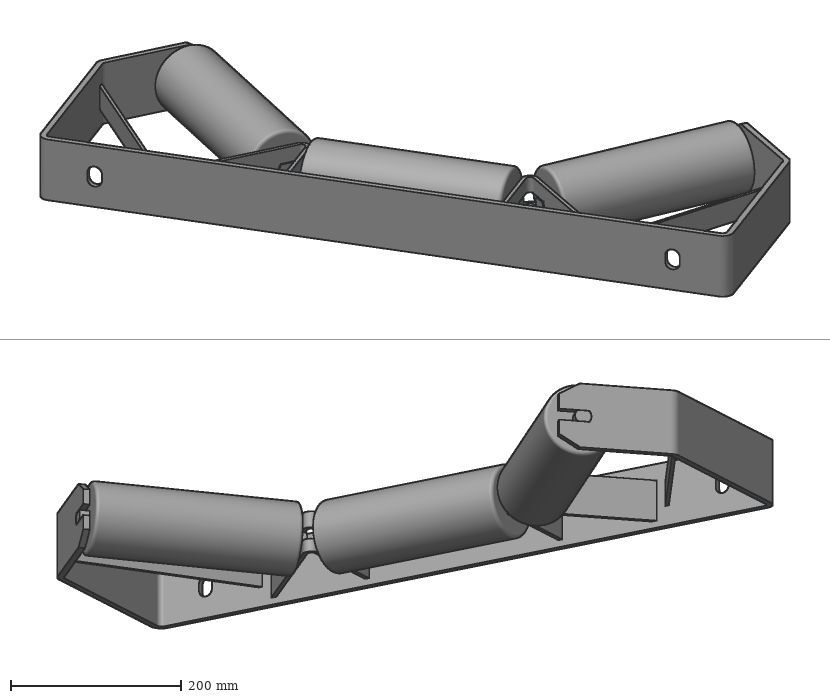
import cadquery as cq
import math

FRAME_WIDTH = 860.0
BAR_HEIGHT = 79.0
BAR_THICKNESS = 8.0
BEND_OUTER_RADIUS = 14.0
ARM_BEND_Y = 224.5
ARM_TIP_Y = 324.0
ARM_CHAMFER_ALONG = 25.0
ARM_CHAMFER_HEIGHT = 15.0
BOLT_SLOT_SPACING = 717.0
BOLT_SLOT_WIDTH = 18.0
BOLT_SLOT_LENGTH = 26.0
BOLT_SLOT_ANGLE = 90.0

ROLLER_DIAMETER = 89.0
ROLLER_LENGTH = 250.0
ROLLER_EDGE_RADIUS = 4.0
SHAFT_DIAMETER = 20.0
SHAFT_FLATS = 14.0
CENTER_ROLLER_Y = 101.5
CENTER_ROLLER_Z = -8.0
SIDE_ROLLER_X = 254.0
SIDE_ROLLER_Y = 206.0
SIDE_ROLLER_Z = -4.0
SIDE_SHAFT_REACH = 12.0

TROUGH_ANGLE = 45.0
ROLLER_DIP = 1.6

BRACKET_HEIGHT = 50.0
BRACKET_CENTER_Z = -6.0
BRACKET_THICKNESS = 5.0
BRACKET_LEG_X = 132.0
BRACKET_FOOT_X = 267.5
BRACKET_BEND_RADIUS = 10.0

STRUT_THICKNESS = 4.0
STRUT_HEIGHT = 30.0
STRUT_FOOT_X = 282.0
STRUT_TOP_Y = 211.5

SLOT_LENGTH = 69.0
SLOT_DEPTH = 17.0

HALF_WIDTH = FRAME_WIDTH / 2


def extrude_centered(outline, height):
    """Extrude an XY outline so that it is centred on Z = 0."""
    return outline.extrude(height / 2, both=True)


def mirrored(body):
    """The same body on the other side of the YZ plane."""
    return body.mirror("YZ")


def round_edge(body, corner, radius):
    """Fillet the upright edge at an XY corner."""
    edge = cq.selectors.NearestToPointSelector((corner[0], corner[1], 0))
    return body.edges("|Z").edges(edge).fillet(radius)


def place_center(body):
    """Move a body built about the origin to the centre roller seat."""
    return body.translate((0, CENTER_ROLLER_Y, CENTER_ROLLER_Z))


def place_left(body):
    """Dip the right-hand (inner) end, swing to the trough angle and move to the left seat."""
    dipped = body.rotate((0, 0, 0), (0, 1, 0), ROLLER_DIP)
    swung = dipped.rotate((0, 0, 0), (0, 0, 1), -TROUGH_ANGLE)
    return swung.translate((-SIDE_ROLLER_X, SIDE_ROLLER_Y, SIDE_ROLLER_Z))


def make_bar(diameter, length):
    """Round bar along X, centred on the origin."""
    return cq.Workplane("YZ", origin=(-length / 2, 0, 0)).circle(diameter / 2).extrude(length)


def make_shaft(length):
    """Round bar along X with two flats facing up and down."""
    bar = make_bar(SHAFT_DIAMETER, length)
    return bar.intersect(cq.Workplane().box(length, SHAFT_DIAMETER, SHAFT_FLATS))


def make_roller(shaft_reach):
    """Roller along X; the shaft stands out by shaft_reach at both ends."""
    drum = make_bar(ROLLER_DIAMETER, ROLLER_LENGTH).edges("%CIRCLE").fillet(ROLLER_EDGE_RADIUS)
    return drum.union(make_shaft(ROLLER_LENGTH + 2 * shaft_reach))


def make_shaft_slot(end):
    """Cutter for an open shaft slot at the end -1 or +1 of a roller along X."""
    mouth = cq.Workplane().box(SLOT_DEPTH, SLOT_LENGTH, SHAFT_FLATS, centered=(True, False, True))
    slot = make_shaft(SLOT_DEPTH).union(mouth)
    return slot.translate((end * (ROLLER_LENGTH + SLOT_DEPTH) / 2, 0, 0))


def make_frame():
    """Bent bar with clipped arm tips, two bolt slots in the base and a shaft slot in each arm."""
    arm_rise = ARM_TIP_Y - ARM_BEND_Y
    arm_run = arm_rise / math.tan(math.radians(TROUGH_ANGLE))
    inner_x = HALF_WIDTH - BAR_THICKNESS
    inner_bend_y = ARM_BEND_Y - BAR_THICKNESS * math.tan(math.radians(TROUGH_ANGLE / 2))
    tip_x = HALF_WIDTH - arm_run
    tip_step = BAR_THICKNESS * math.sin(math.radians(TROUGH_ANGLE))
    outline = cq.Workplane().polyline([
        (-HALF_WIDTH, 0),
        (HALF_WIDTH, 0),
        (HALF_WIDTH, ARM_BEND_Y),
        (tip_x, ARM_TIP_Y),
        (tip_x - tip_step, ARM_TIP_Y - tip_step),
        (inner_x, inner_bend_y),
        (inner_x, BAR_THICKNESS),
        (-inner_x, BAR_THICKNESS),
        (-inner_x, inner_bend_y),
        (-tip_x + tip_step, ARM_TIP_Y - tip_step),
        (-tip_x, ARM_TIP_Y),
        (-HALF_WIDTH, ARM_BEND_Y),
    ]).close()
    frame = extrude_centered(outline, BAR_HEIGHT)
    for side in (-1, 1):
        for outer, inner in (
            ((side * HALF_WIDTH, 0), (side * inner_x, BAR_THICKNESS)),
            ((side * HALF_WIDTH, ARM_BEND_Y), (side * inner_x, inner_bend_y)),
        ):
            frame = round_edge(frame, outer, BEND_OUTER_RADIUS)
            frame = round_edge(frame, inner, BEND_OUTER_RADIUS - BAR_THICKNESS)
    for corner in make_arm_corners(tip_x):
        frame = frame.cut(corner).cut(mirrored(corner))
    slots = (
        cq.Workplane("XZ").pushPoints([(-BOLT_SLOT_SPACING / 2, 0), (BOLT_SLOT_SPACING / 2, 0)])
        .slot2D(BOLT_SLOT_LENGTH, BOLT_SLOT_WIDTH, BOLT_SLOT_ANGLE).extrude(-BAR_THICKNESS)
    )
    seat = place_left(make_shaft_slot(-1))
    return frame.cut(slots).cut(seat).cut(mirrored(seat))


def make_arm_corners(tip_x):
    """Wedges that clip the upper and lower corners of the left arm tip."""
    angle = math.radians(TROUGH_ANGLE)
    arm_plane = cq.Plane(
        origin=(-tip_x, ARM_TIP_Y, 0),
        xDir=(-math.cos(angle), -math.sin(angle), 0),
        normal=(math.sin(angle), -math.cos(angle), 0),
    )
    half_height = BAR_HEIGHT / 2
    for side in (-1, 1):
        wedge = cq.Workplane(arm_plane).polyline([
            (0, side * half_height),
            (ARM_CHAMFER_ALONG, side * half_height),
            (0, side * (half_height - ARM_CHAMFER_HEIGHT)),
        ]).close()
        yield wedge.extrude(BAR_THICKNESS)


def make_left_bracket():
    """Upright leg beside the centre roller, bent over into a leg that slopes to the base bar."""
    slope = math.tan(math.radians(TROUGH_ANGLE))
    outer_top_y = BAR_THICKNESS + (BRACKET_FOOT_X - BRACKET_LEG_X) * slope
    inner_leg_x = BRACKET_LEG_X + BRACKET_THICKNESS
    inner_foot_x = BRACKET_FOOT_X - BRACKET_THICKNESS / math.sin(math.radians(TROUGH_ANGLE))
    inner_top_y = BAR_THICKNESS + (inner_foot_x - inner_leg_x) * slope
    outline = cq.Workplane().polyline([
        (-BRACKET_LEG_X, BAR_THICKNESS),
        (-BRACKET_LEG_X, outer_top_y),
        (-BRACKET_FOOT_X, BAR_THICKNESS),
        (-inner_foot_x, BAR_THICKNESS),
        (-inner_leg_x, inner_top_y),
        (-inner_leg_x, BAR_THICKNESS),
    ]).close()
    bracket = extrude_centered(outline, BRACKET_HEIGHT).translate((0, 0, BRACKET_CENTER_Z))
    bracket = round_edge(bracket, (-BRACKET_LEG_X, outer_top_y), BRACKET_BEND_RADIUS)
    bracket = round_edge(bracket, (-inner_leg_x, inner_top_y), BRACKET_BEND_RADIUS - BRACKET_THICKNESS)
    return bracket.cut(place_center(make_shaft_slot(-1))).cut(place_left(make_shaft_slot(1)))


def make_left_strut():
    """Brace between the base bar and the left upright, its ends trimmed to both faces."""
    wall_x = HALF_WIDTH - BAR_THICKNESS
    angle = math.atan2(STRUT_TOP_Y - BAR_THICKNESS, wall_x - STRUT_FOOT_X)
    foot_half = STRUT_THICKNESS / 2 / math.sin(angle)
    top_half = STRUT_THICKNESS / 2 / math.cos(angle)
    outline = cq.Workplane().polyline([
        (-STRUT_FOOT_X - foot_half, BAR_THICKNESS),
        (-STRUT_FOOT_X + foot_half, BAR_THICKNESS),
        (-wall_x, STRUT_TOP_Y + top_half),
        (-wall_x, STRUT_TOP_Y - top_half),
    ]).close()
    return extrude_centered(outline, STRUT_HEIGHT)


frame = make_frame()
left_bracket = make_left_bracket()
left_strut = make_left_strut()
left_roller = place_left(make_roller(SIDE_SHAFT_REACH))
center_roller = place_center(make_roller(BRACKET_LEG_X + BRACKET_THICKNESS - ROLLER_LENGTH / 2))

bodies = [frame.solids().val(), center_roller.solids().val()]
for left_body in (left_bracket, left_strut, left_roller):
    bodies.append(left_body.solids().val())
    bodies.append(mirrored(left_body).solids().val())

result = cq.Compound.makeCompound(bodies)